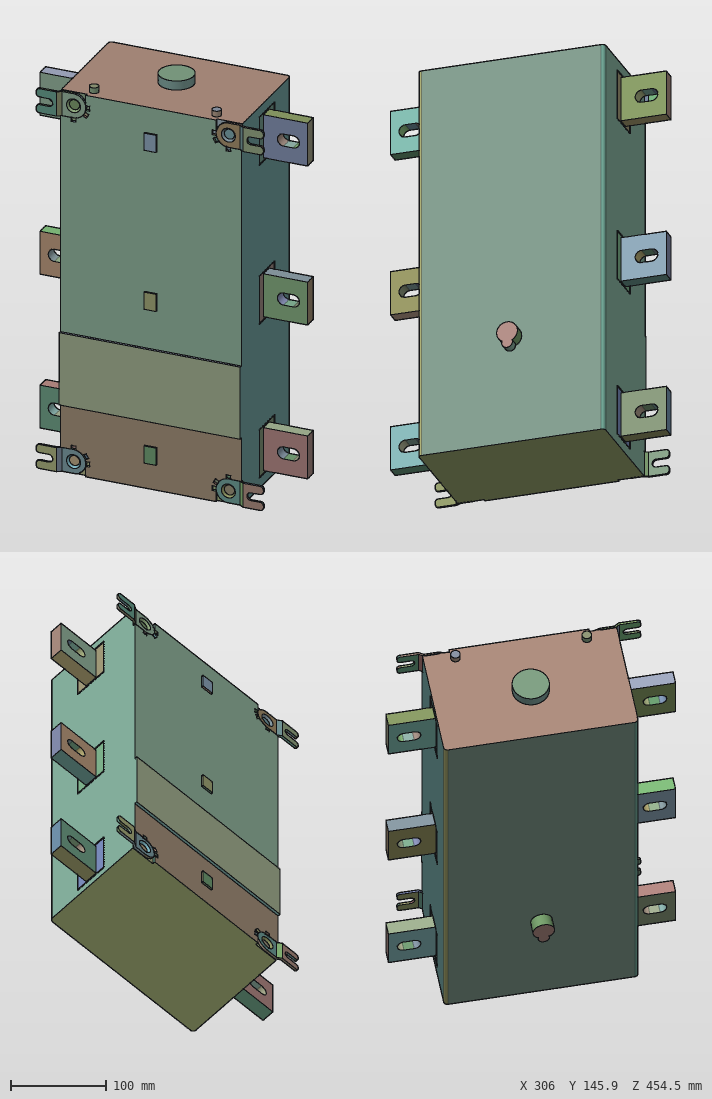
import cadquery as cq

BOX_WIDTH = 207.0
BOX_DEPTH = 129.0
BOX_HEIGHT = 444.0
BACK_EDGE_RADIUS = 4.0
HALF_WIDTH = BOX_WIDTH / 2

BAR_SPAN = 306.0
BAR_THICKNESS = 15.0
BAR_HEIGHT = 50.0
BAR_Y = 67.5
BAR_LEVELS = (40.0, 219.0, 404.0)
BAR_SLOT_LENGTH = 25.0
BAR_SLOT_WIDTH = 14.0
BAR_SLOT_FROM_END = 22.0
RECESS_WIDTH = 40.0
RECESS_HEIGHT = 56.0
RECESS_DEPTH = 1.0

COVER_RELIEF = 3.0
COVER_BOTTOM = 79.5
COVER_HEIGHT = 84.0
LABEL_WIDTH = 14.0
LABEL_HEIGHT = 20.0
LABEL_RELIEF = 2.0

CAP_DIAMETER = 39.0
CAP_HEIGHT = 10.5
PIN_DIAMETER = 10.0
PIN_HEIGHT = 6.5
PIN_X = 70.0
PIN_Y = 12.0

KNOB_DIAMETER = 23.0
KNOB_LENGTH = 13.9
KNOB_Z = COVER_BOTTOM + COVER_HEIGHT / 2
NUB_DIAMETER = 12.0
NUB_LENGTH = 10.0
NUB_DROP = 12.0

LUG_THICKNESS = 2.7
LUG_SINK = 0.3
POCKET_DEPTH = LUG_SINK + LUG_THICKNESS
LUG_WIDTH = 28.0
LUG_RADIUS = LUG_WIDTH / 2
LUG_INSET = 15.0
LUG_X = HALF_WIDTH - LUG_INSET
LUG_TIP_X = 129.8
CRANK_INNER_X = 101.5
CRANK_OUTER_X = 106.8
LUG_SLOT_WIDTH = 9.0
LUG_SLOT_END_X = 111.0
PRONG_RADIUS = 3.5
DIMPLE_DIAMETER = 16.0
DIMPLE_FLOOR_DIAMETER = 11.5
NOTCH_WIDTH = 5.5
NOTCH_REACH = 18.5
NOTCH_ANGLES = (180, 210, 270)

OVERLAP = 1.0


def block(x_range, y_range, z_range):
    """Axis-aligned block spanning the given (low, high) pairs."""
    spans = [high - low for low, high in (x_range, y_range, z_range)]
    corner = (x_range[0], y_range[0], z_range[0])
    return cq.Workplane("XY").box(*spans, centered=False).translate(corner)


def cylinder_along_y(diameter, y_start, y_end, x, z):
    solid = cq.Solid.makeCylinder(
        diameter / 2, y_end - y_start, cq.Vector(x, y_start, z), cq.Vector(0, 1, 0)
    )
    return cq.Workplane(obj=solid)


def cylinder_along_z(diameter, z_start, z_end, x, y):
    solid = cq.Solid.makeCylinder(diameter / 2, z_end - z_start, cq.Vector(x, y, z_start))
    return cq.Workplane(obj=solid)


def make_box():
    box = block((-HALF_WIDTH, HALF_WIDTH), (0, BOX_DEPTH), (0, BOX_HEIGHT))
    return box.edges("|Z and >Y").fillet(BACK_EDGE_RADIUS)


def make_side_recess(side, level):
    return cq.Workplane("XY").box(2 * RECESS_DEPTH, RECESS_WIDTH, RECESS_HEIGHT).translate(
        (side * HALF_WIDTH, BAR_Y, level)
    )


def make_bar(level):
    """One bar running through the box, slotted near both ends."""
    slot_x = BAR_SPAN / 2 - BAR_SLOT_FROM_END
    bar = cq.Workplane("XZ").rect(BAR_SPAN, BAR_HEIGHT).extrude(BAR_THICKNESS / 2, both=True)
    slots = (
        cq.Workplane("XZ")
        .pushPoints([(-slot_x, 0), (slot_x, 0)])
        .slot2D(BAR_SLOT_LENGTH, BAR_SLOT_WIDTH)
        .extrude(BAR_THICKNESS, both=True)
    )
    return bar.cut(slots).translate((0, BAR_Y, level))


def make_cover():
    return block(
        (-HALF_WIDTH, HALF_WIDTH), (-COVER_RELIEF, OVERLAP), (COVER_BOTTOM, COVER_BOTTOM + COVER_HEIGHT)
    )


def make_label(level):
    half_height = LABEL_HEIGHT / 2
    return block(
        (-LABEL_WIDTH / 2, LABEL_WIDTH / 2),
        (-LABEL_RELIEF, OVERLAP),
        (level - half_height, level + half_height),
    )


def make_knob():
    y_end = BOX_DEPTH + KNOB_LENGTH
    knob = cylinder_along_y(KNOB_DIAMETER, BOX_DEPTH - OVERLAP, y_end, 0, KNOB_Z)
    nub = cylinder_along_y(NUB_DIAMETER, y_end - NUB_LENGTH, y_end, 0, KNOB_Z - NUB_DROP)
    return knob.union(nub)


def make_lug_pocket():
    """Pocket for the top right lug: open at the side and top, rounded below, with three notches."""
    z = BOX_HEIGHT - LUG_INSET
    low_side = block((LUG_X, HALF_WIDTH), (0, POCKET_DEPTH), (z - LUG_RADIUS, BOX_HEIGHT))
    top_corner = block((LUG_X - LUG_RADIUS, LUG_X), (0, POCKET_DEPTH), (z, BOX_HEIGHT))
    pocket = low_side.union(top_corner)
    pocket = pocket.union(cylinder_along_y(LUG_WIDTH, 0, POCKET_DEPTH, LUG_X, z))
    notch = block((0, NOTCH_REACH), (0, POCKET_DEPTH), (-NOTCH_WIDTH / 2, NOTCH_WIDTH / 2))
    for angle in NOTCH_ANGLES:
        turned = notch.rotate((0, 0, 0), (0, -1, 0), angle)
        pocket = pocket.union(turned.translate((LUG_X, 0, z)))
    return pocket


def make_lug():
    """Top right lug: round inner end in the pocket, crank, and forked outer end."""
    z = BOX_HEIGHT - LUG_INSET
    tab_back = LUG_THICKNESS - COVER_RELIEF
    strip = (
        cq.Workplane("XY")
        .moveTo(LUG_X, LUG_SINK)
        .lineTo(CRANK_INNER_X, LUG_SINK)
        .lineTo(CRANK_OUTER_X, -COVER_RELIEF)
        .lineTo(LUG_TIP_X, -COVER_RELIEF)
        .lineTo(LUG_TIP_X, tab_back)
        .lineTo(CRANK_OUTER_X, tab_back)
        .lineTo(CRANK_INNER_X, POCKET_DEPTH)
        .lineTo(LUG_X, POCKET_DEPTH)
        .close()
        .extrude(LUG_WIDTH)
        .translate((0, 0, z - LUG_RADIUS))
    )
    slot_centre_x = LUG_SLOT_END_X + LUG_SLOT_WIDTH / 2
    half_slot = LUG_SLOT_WIDTH / 2
    slot = block((slot_centre_x, LUG_TIP_X), (-COVER_RELIEF, 0), (z - half_slot, z + half_slot))
    slot = slot.union(cylinder_along_y(LUG_SLOT_WIDTH, -COVER_RELIEF, 0, slot_centre_x, z))
    lug = strip.cut(slot).edges("|Y and >X").fillet(PRONG_RADIUS)
    return lug.union(cylinder_along_y(LUG_WIDTH, LUG_SINK, POCKET_DEPTH, LUG_X, z))


def make_lug_dimple():
    """Conical dimple with a flat floor, through the round end of a lug."""
    cone = cq.Solid.makeCone(
        DIMPLE_DIAMETER / 2,
        DIMPLE_FLOOR_DIAMETER / 2,
        LUG_THICKNESS,
        cq.Vector(LUG_X, LUG_SINK, BOX_HEIGHT - LUG_INSET),
        cq.Vector(0, 1, 0),
    )
    return cq.Workplane(obj=cone)


def at_four_corners(shape):
    """Copies of a top right corner feature, mirrored to all four corners."""
    right = [shape, shape.mirror("XY", (0, 0, BOX_HEIGHT / 2))]
    return right + [item.mirror("YZ") for item in right]


result = make_box()

for bar_level in BAR_LEVELS:
    for side in (-1, 1):
        result = result.cut(make_side_recess(side, bar_level))
    result = result.union(make_bar(bar_level)).union(make_label(bar_level))

result = result.union(make_cover())

result = result.union(
    cylinder_along_z(CAP_DIAMETER, BOX_HEIGHT - OVERLAP, BOX_HEIGHT + CAP_HEIGHT, 0, BAR_Y)
)
for side in (-1, 1):
    result = result.union(
        cylinder_along_z(
            PIN_DIAMETER, BOX_HEIGHT - OVERLAP, BOX_HEIGHT + PIN_HEIGHT, side * PIN_X, PIN_Y
        )
    )
result = result.union(make_knob())

for pocket in at_four_corners(make_lug_pocket()):
    result = result.cut(pocket)
for lug in at_four_corners(make_lug()):
    result = result.union(lug)
for dimple in at_four_corners(make_lug_dimple()):
    result = result.cut(dimple)